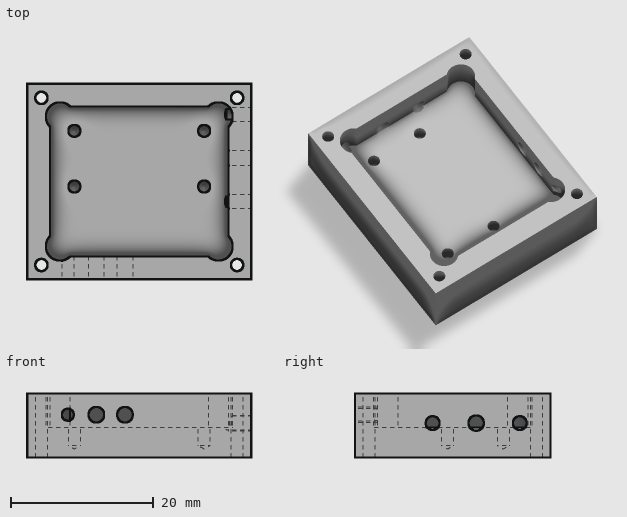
import cadquery as cq
import math

length = 31.4
width = 27.4
height = 9.0

wall = 3.2
pocket_length = length - 2 * wall
pocket_width = width - 2 * wall
pocket_depth = 4.8
floor_z = height - pocket_depth
relief_radius = 2.0
relief_inset = relief_radius * math.sqrt(0.5)
relief_x = pocket_length / 2 - relief_inset
relief_y = pocket_width / 2 - relief_inset

drill_tip_angle = 118.0

screw_diameter = 1.69
screw_inset = 2.0
floor_hole_inset = 2.0
floor_hole_x = relief_x - floor_hole_inset
floor_hole_top_y = relief_y - floor_hole_inset
floor_hole_spacing = 7.8
floor_hole_depth = 2.5

front_hole_drop = 3.0
front_hole_z = height - front_hole_drop
large_front_hole_diameter = 2.2
front_holes = [
    (-10.0, screw_diameter),
    (-6.0, large_front_hole_diameter),
    (-2.0, large_front_hole_diameter),
]

side_hole_drop = 4.17
side_hole_z = height - side_hole_drop
side_hole_middle_y = 3.28
side_hole_spacing = 6.1
side_drill_diameter = 1.94
side_drill_overrun = 0.3
side_drill_depth = wall + side_drill_overrun
flush_hole_diameter = 2.16


def drill(diameter, depth):
    """Drill shape entering along -Z from the origin, with a conical tip below the given depth."""
    radius = diameter / 2
    tip_height = radius / math.tan(math.radians(drill_tip_angle / 2))
    profile = [(0, 0), (radius, 0), (radius, -depth), (0, -depth - tip_height)]
    return cq.Workplane("XZ").polyline(profile).close().revolve(360, (0, 0), (0, 1))


def cut_pocket(body):
    outline = cq.Workplane("XY", origin=(0, 0, floor_z))
    pocket = outline.rect(pocket_length, pocket_width).extrude(pocket_depth)
    reliefs = (
        outline.rect(2 * relief_x, 2 * relief_y, forConstruction=True)
        .vertices()
        .circle(relief_radius)
        .extrude(pocket_depth)
    )
    return body.cut(pocket).cut(reliefs)


def cut_corner_holes(body):
    return (
        body.faces(">Z")
        .workplane(origin=(0, 0, height))
        .rect(length - 2 * screw_inset, width - 2 * screw_inset, forConstruction=True)
        .vertices()
        .hole(screw_diameter)
    )


def cut_floor_holes(body):
    for x in (-floor_hole_x, floor_hole_x):
        for y in (floor_hole_top_y, floor_hole_top_y - floor_hole_spacing):
            body = body.cut(drill(screw_diameter, floor_hole_depth).translate((x, y, floor_z)))
    return body


def cut_front_holes(body):
    for x, diameter in front_holes:
        start = cq.Workplane("XZ", origin=(x, -width / 2, front_hole_z))
        body = body.cut(start.circle(diameter / 2).extrude(-width / 2))
    return body


def cut_side_holes(body):
    flush_hole = cq.Workplane("YZ", origin=(length / 2, side_hole_middle_y, side_hole_z))
    body = body.cut(flush_hole.circle(flush_hole_diameter / 2).extrude(-wall))
    bit = drill(side_drill_diameter, side_drill_depth).rotate((0, 0, 0), (0, 1, 0), 90)
    for offset in (-side_hole_spacing, side_hole_spacing):
        body = body.cut(bit.translate((length / 2, side_hole_middle_y + offset, side_hole_z)))
    return body


result = cq.Workplane("XY").box(length, width, height, centered=(True, True, False))
result = cut_pocket(result)
result = cut_corner_holes(result)
result = cut_floor_holes(result)
result = cut_front_holes(result)
result = cut_side_holes(result)